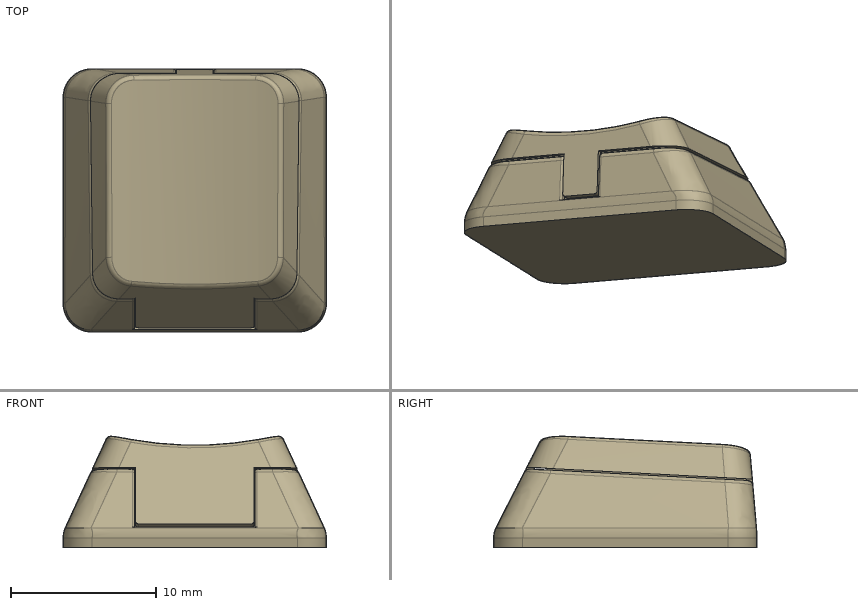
import cadquery as cq
import math

base_side = 18.16
corner_radius = 2.0
skirt_height = 0.67
blend_height = 0.70
wall_foot_height = 1.05

fall_angle = 3.0

crown_height = 8.0
crown_half_width = 5.78
crown_front_y = -5.39
crown_back_y = 8.53

dish_radius = 24.0
dish_floor_height = 6.805
rim_radius = 0.35

seam_height = 5.08
seam_gap = 0.11
seam_radius = 0.4

tongue_width = 8.18
tab_width = 2.53
tongue_bottom = 1.645
tongue_depth = 0.5
tongue_corner_radius = 0.2
notch_side_clearance = 0.06
notch_end_clearance = 0.24
notch_edge_radius = 0.15
tongue_root_length = 5.0

seat_half_width = 6.0
seat_front_y = -5.4
seat_back_y = 8.35

half_side = base_side / 2
fall = math.tan(math.radians(fall_angle))
wall_start_height = skirt_height + blend_height
oversize = 4 * base_side
corner_signs = [(-1, -1), (1, -1), (1, 1), (-1, 1)]

tongues = [
    (-half_side, crown_front_y, tongue_width),
    (half_side, crown_back_y, tab_width),
]


def sloped_height(height, y):
    """Height at y of a plane that falls towards the back and is this high at Y = 0."""
    return height - fall * y


def block_above(height):
    """Large block standing on the sloped plane that is this high at Y = 0."""
    plane = cq.Plane(origin=(0, 0, height), xDir=(1, 0, 0), normal=(0, fall, 1))
    return cq.Workplane(plane).rect(oversize, oversize).extrude(oversize)


def make_walls():
    """Sloping walls with rounded corners, from the top of the blend band to the crown."""
    foot_corners = []
    crown_corners = []
    for x_sign, y_sign in corner_signs:
        crown_y = crown_front_y if y_sign < 0 else crown_back_y
        crown = cq.Vector(x_sign * crown_half_width, crown_y, sloped_height(crown_height, crown_y))
        foot = cq.Vector(x_sign * half_side, y_sign * half_side, wall_foot_height)
        run_on = wall_foot_height / (crown.z - wall_foot_height)
        foot_corners.append(foot + (foot - crown) * run_on)
        crown_corners.append(crown)
    outlines = [cq.Wire.makePolygon(corners, close=True) for corners in (foot_corners, crown_corners)]
    walls = cq.Workplane(cq.Solid.makeLoft(outlines, True))
    corner_lines = cq.selectors.BoxSelector(
        (-half_side, -half_side, skirt_height), (half_side, half_side, seam_height)
    )
    walls = walls.edges(corner_lines).fillet(corner_radius)
    above_blend = cq.Workplane(origin=(0, 0, wall_start_height)).rect(oversize, oversize).extrude(oversize)
    return walls.intersect(above_blend)


def rounded_slab(half_width, front_y, back_y, height):
    """Slab on the ground with rounded upright corners."""
    slab = cq.Workplane(origin=(0, (front_y + back_y) / 2, 0))
    slab = slab.rect(2 * half_width, back_y - front_y).extrude(height)
    return slab.edges("|Z").fillet(corner_radius)


def make_blend(skirt, walls):
    """Band that curves from the upright skirt into the sloping walls."""
    wall_start = walls.faces("<Z").val()
    box = wall_start.BoundingBox()
    quarter = 0.25
    middle = rounded_slab(
        half_side + quarter * (box.xmax - half_side),
        -half_side + quarter * (box.ymin + half_side),
        half_side + quarter * (box.ymax - half_side),
        skirt_height + blend_height / 2,
    )
    outlines = [
        skirt.faces(">Z").val().outerWire(),
        middle.faces(">Z").val().outerWire(),
        wall_start.outerWire(),
    ]
    return cq.Workplane(cq.Solid.makeLoft(outlines))


def make_dish():
    """Cylinder that hollows the crown."""
    axis_plane = cq.Plane(
        origin=(0, 0, dish_floor_height + dish_radius), xDir=(1, 0, 0), normal=(0, -1, fall)
    )
    return cq.Workplane(axis_plane).circle(dish_radius).extrude(base_side, both=True)


def make_shell():
    """Solid outer shape of the closed keycap, with a dished and rounded crown."""
    skirt = rounded_slab(half_side, -half_side, half_side, skirt_height)
    walls = make_walls()
    shell = skirt.union(make_blend(skirt, walls)).union(walls).cut(make_dish())
    dish_face = cq.selectors.NearestToPointSelector((0, 0, dish_floor_height))
    return shell.faces(dish_face).edges().fillet(rim_radius)


def wall_bar(wall_y, crown_y, width, side_clearance=0, end_clearance=0):
    """Bar square to the front or back wall, running up from the lower edge of the tongue."""
    run = crown_y - wall_y
    rise = sloped_height(crown_height, crown_y) - wall_foot_height
    wall_plane = cq.Plane(
        origin=(0, wall_y, wall_foot_height), xDir=(1, 0, 0), normal=(0, -rise, run)
    )
    length_per_height = math.hypot(run, rise) / rise
    lower_edge = (tongue_bottom - wall_foot_height) * length_per_height - end_clearance
    return (
        cq.Workplane(wall_plane)
        .center(0, lower_edge + tongue_root_length / 2)
        .rect(width + 2 * side_clearance, tongue_root_length)
        .extrude(tongue_depth + side_clearance, both=True)
    )


def make_tongue(shell, wall_y, crown_y, width):
    """Tongue flush with the outer wall, with rounded lower corners."""
    bar = wall_bar(wall_y, crown_y, width)
    bar = bar.faces("<Z").edges("not |X").fillet(tongue_corner_radius)
    return bar.intersect(shell)


def cut_notch(base, wall_y, crown_y, width):
    """Notch for a tongue, with its upright edges rounded where they meet the outer wall."""
    base = base.cut(wall_bar(wall_y, crown_y, width, notch_side_clearance, notch_end_clearance))
    notch_edge_x = width / 2 + notch_side_clearance
    middle_height = (tongue_bottom + sloped_height(seam_height, wall_y)) / 2
    run_per_height = (crown_y - wall_y) / (sloped_height(crown_height, crown_y) - wall_foot_height)
    middle_y = wall_y + run_per_height * (middle_height - wall_foot_height)
    for edge_x in (-notch_edge_x, notch_edge_x):
        upright_edge = cq.selectors.NearestToPointSelector((edge_x, middle_y, middle_height))
        base = base.edges(upright_edge).fillet(notch_edge_radius)
    return base


def make_base(shell):
    """Lower body: rounded along the seam and notched at the front and back."""
    base = shell.cut(block_above(seam_height))
    seam_face = cq.selectors.NearestToPointSelector((0, 0, seam_height))
    base = base.faces(seam_face).edges().fillet(seam_radius)
    for wall_y, crown_y, width in tongues:
        base = cut_notch(base, wall_y, crown_y, width)
    return base


def make_seat():
    """Pad that fills the seam gap under the cap, clear of the outer walls."""
    pad = cq.Workplane(origin=(0, (seat_front_y + seat_back_y) / 2, 0))
    pad = pad.rect(2 * seat_half_width, seat_back_y - seat_front_y).extrude(crown_height)
    return pad.intersect(block_above(seam_height)).cut(block_above(seam_height + seam_gap))


def make_cap(shell):
    """Upper body: dished crown, front tongue, back tab and the seat that rests on the base."""
    cap = shell.intersect(block_above(seam_height + seam_gap))
    for wall_y, crown_y, width in tongues:
        cap = cap.union(make_tongue(shell, wall_y, crown_y, width))
    return cap.union(make_seat())


shell = make_shell()
base = make_base(shell)
cap = make_cap(shell)
result = cq.Compound.makeCompound([base.solids().val(), cap.solids().val()])